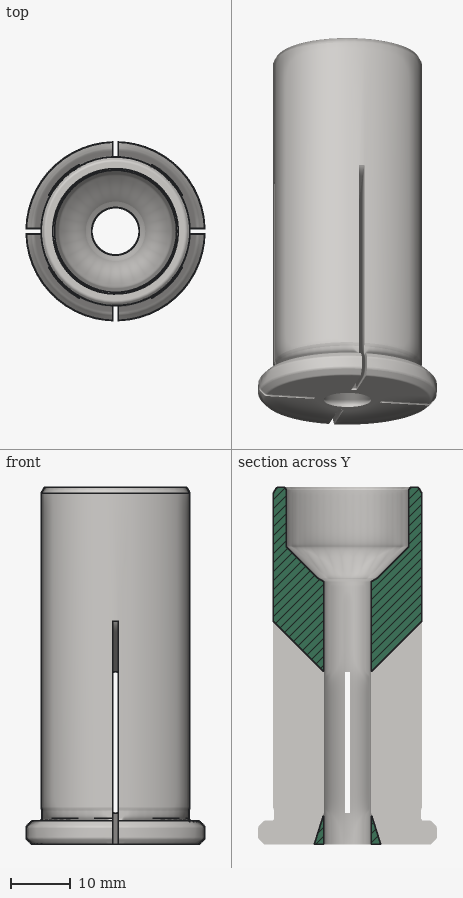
import cadquery as cq
import math

length = 60.0
body_radius = 25.0 / 2
flange_radius = 30.0 / 2
flange_height = 4.0

flange_chamfer = 1.0
edge_blend_radius = 0.5
end_chamfer_height = 1.0
mouth_chamfer_height = 0.5
end_chamfer_angle = 30.0

groove_depth = 0.15
groove_top = 6.25
groove_runout_angle = 15.0
groove_fillet = 0.4

mouth_radius = 20.5 / 2
mouth_depth = 10.0
cone_half_angle = 45.0
throat_radius = 10.0 / 2
throat_half_angle = 60.0
grip_radius = 7.94 / 2

slot_width = 0.9
slot_count = 4
slot_top = 37.5
slot_top_angle = 45.0
slot_bottom = 5.25
slot_bottom_angle = 17.5


def tangent_of(angle):
    return math.tan(math.radians(angle))


def revolve_profile(profile):
    return profile.close().revolve(360, (0, 0, 0), (0, 1, 0))


def make_flange():
    flange = cq.Workplane("XY").circle(flange_radius).extrude(flange_height)
    flange = flange.edges().chamfer(flange_chamfer)
    return flange.edges("%CIRCLE").fillet(edge_blend_radius)


def make_body():
    """Solid shank with its chamfered end and the relief groove above the flange."""
    end_radius = body_radius - end_chamfer_height * tangent_of(end_chamfer_angle)
    groove_radius = body_radius - groove_depth
    groove_runout = groove_depth / tangent_of(groove_runout_angle)
    fillet_sag = groove_fillet * (1 - math.sqrt(0.5))
    profile = (
        cq.Workplane("XZ")
        .moveTo(0, flange_height)
        .lineTo(groove_radius + groove_fillet, flange_height)
        .threePointArc(
            (groove_radius + fillet_sag, flange_height + fillet_sag),
            (groove_radius, flange_height + groove_fillet),
        )
        .lineTo(groove_radius, groove_top - groove_runout)
        .lineTo(body_radius, groove_top)
        .lineTo(body_radius, length - end_chamfer_height)
        .lineTo(end_radius, length)
        .lineTo(0, length)
    )
    return revolve_profile(profile).faces(">Z").edges().fillet(edge_blend_radius)


def make_bore():
    rim_radius = mouth_radius + mouth_chamfer_height * tangent_of(end_chamfer_angle)
    mouth_floor = length - mouth_depth
    cone_floor = mouth_floor - (mouth_radius - throat_radius) / tangent_of(cone_half_angle)
    throat_floor = cone_floor - (throat_radius - grip_radius) / tangent_of(throat_half_angle)
    profile = (
        cq.Workplane("XZ")
        .lineTo(grip_radius, 0)
        .lineTo(grip_radius, throat_floor)
        .lineTo(throat_radius, cone_floor)
        .lineTo(mouth_radius, mouth_floor)
        .lineTo(mouth_radius, length - mouth_chamfer_height)
        .lineTo(rim_radius, length)
        .lineTo(0, length)
    )
    return revolve_profile(profile)


def make_slot(angle):
    """Cutter for one slot; both end walls are carried to the axis so the cut clears the bore."""
    top_at_axis = slot_top - body_radius / tangent_of(slot_top_angle)
    bottom_at_axis = slot_bottom + grip_radius / tangent_of(slot_bottom_angle)
    bottom_reach = bottom_at_axis * tangent_of(slot_bottom_angle)
    top_at_flange = top_at_axis + flange_radius / tangent_of(slot_top_angle)
    cutter = (
        cq.Workplane("XZ")
        .moveTo(0, top_at_axis)
        .lineTo(0, bottom_at_axis)
        .lineTo(bottom_reach, 0)
        .lineTo(flange_radius, 0)
        .lineTo(flange_radius, top_at_flange)
        .close()
        .extrude(slot_width / 2, both=True)
    )
    return cutter.rotate((0, 0, 0), (0, 0, 1), angle)


result = make_flange().union(make_body()).cut(make_bore())
for i in range(slot_count):
    result = result.cut(make_slot(i * 360 / slot_count))